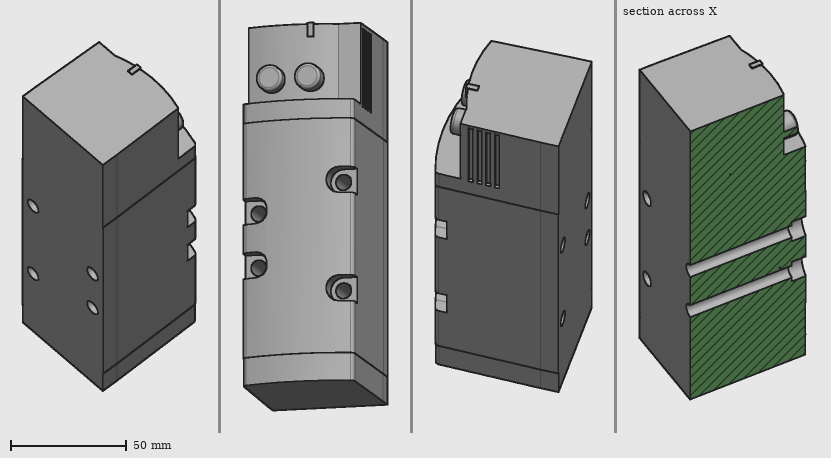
import cadquery as cq
import math

width = 51.6
depth = 60.0
body_top = 160.7
base_depth = 8.2
draft_angle = 1.0
crown_drop = 3.9
corner_radius = 2.1

lower_cap_top = 12.3
upper_cap_bottom = 116.2
cap_inset = 0.11
lower_cap_depth = 59.8

step_height = 124.8
head_flat_depth = 44.7
head_flat_end_x = -15.0
head_crest_x = 5.2
head_crest_depth = 48.2
head_right_depth = 45.3

hole_center_height = 65.0
hole_x = 19.0
hole_diameter = 7.0
counterbore_diameter = 11.5
counterbore_floor = 50.8
wide_pair_spacing = 48.0
narrow_pair_spacing = wide_pair_spacing / 2

button_diameter = 11.5
button_end = 54.2
button_fillet = 1.3
button_height = 136.5
button_root_depth = 1.6
button_xs = (-3.4, 13.7)

groove_count = 4
groove_first_y = 28.0
groove_last_y = 40.0
groove_pitch = (groove_last_y - groove_first_y) / (groove_count - 1)
groove_width = 2.1
groove_depth = 1.6
groove_bottom = 124.3
groove_top = 158.8

mark_x = -3.4
mark_width = 2.5
mark_start_y = 42.9
mark_end_y = head_crest_depth
mark_bottom = 155.0
mark_top = 161.2


def half_width_at(y, inset=0.0):
    """Half width of the drafted body at distance y from the back face."""
    drafted_length = max(0.0, y - base_depth)
    return width / 2 - inset - drafted_length * math.tan(math.radians(draft_angle))


def body_section(bottom, top, inset, crest_y):
    """Length of the body domed up to crest_y, with its side walls moved in by inset."""
    shoulder_y = crest_y - crown_drop
    base_x = half_width_at(0, inset)
    shoulder_x = half_width_at(shoulder_y, inset)
    return (
        cq.Workplane("XY", origin=(0, 0, bottom))
        .moveTo(-base_x, 0)
        .lineTo(base_x, 0)
        .lineTo(base_x, base_depth)
        .lineTo(shoulder_x, shoulder_y)
        .threePointArc((0, crest_y), (-shoulder_x, shoulder_y))
        .lineTo(-base_x, base_depth)
        .close()
        .extrude(top - bottom)
        .faces(">Y")
        .edges("|Z")
        .fillet(corner_radius)
    )


def head_section():
    """Control head with a flat ledge and an off-centre domed face."""
    base_x = half_width_at(0, cap_inset)
    left_x = half_width_at(head_flat_depth, cap_inset)
    right_x = half_width_at(head_right_depth, cap_inset)
    return (
        cq.Workplane("XY", origin=(0, 0, step_height))
        .moveTo(-base_x, 0)
        .lineTo(base_x, 0)
        .lineTo(base_x, base_depth)
        .lineTo(right_x, head_right_depth)
        .threePointArc((head_crest_x, head_crest_depth), (head_flat_end_x, head_flat_depth))
        .lineTo(-left_x, head_flat_depth)
        .lineTo(-base_x, base_depth)
        .close()
        .extrude(body_top - step_height)
    )


def button(x):
    """Push button with a rounded rim, rooted inside the head."""
    root_y = head_flat_depth - button_root_depth
    return (
        cq.Workplane("XZ", origin=(x, root_y, button_height))
        .circle(button_diameter / 2)
        .extrude(-(button_end - root_y))
        .faces(">Y")
        .edges()
        .fillet(button_fillet)
    )


def mounting_hole(side, height):
    """Through hole whose counterbore runs out through the nearest side wall."""
    x = side * hole_x
    bore = (
        cq.Workplane("XZ", origin=(x, 0, height))
        .circle(hole_diameter / 2)
        .extrude(-depth)
    )
    seat_depth = depth - counterbore_floor
    counterbore = (
        cq.Workplane("XZ", origin=(x, counterbore_floor, height))
        .circle(counterbore_diameter / 2)
        .extrude(-seat_depth)
    )
    runout_length = width / 2 - hole_x
    runout = (
        cq.Workplane("XY")
        .box(runout_length, seat_depth, counterbore_diameter, centered=(True, False, True))
        .translate((x + side * runout_length / 2, counterbore_floor, height))
    )
    return bore.union(counterbore).union(runout)


def grip_groove(index):
    """Vertical groove cut into the -X wall of the head."""
    y = groove_first_y + index * groove_pitch
    floor_x = -half_width_at(y, cap_inset) + groove_depth
    outer_x = -width / 2
    length = groove_top - groove_bottom
    return (
        cq.Workplane("XY")
        .box(floor_x - outer_x, groove_width, length, centered=(False, True, False))
        .translate((outer_x, y, groove_bottom))
    )


def index_mark():
    """Small raised bar over the top edge of the head."""
    length = mark_end_y - mark_start_y
    height = mark_top - mark_bottom
    return (
        cq.Workplane("XY")
        .box(mark_width, length, height, centered=(True, False, False))
        .translate((mark_x, mark_start_y, mark_bottom))
    )


result = body_section(lower_cap_top, upper_cap_bottom, 0.0, depth)
result = result.union(body_section(0.0, lower_cap_top, cap_inset, lower_cap_depth))
result = result.union(body_section(upper_cap_bottom, step_height, cap_inset, depth))
result = result.union(head_section())
result = result.union(index_mark())

for button_x in button_xs:
    result = result.union(button(button_x))

for side, spacing in ((-1, wide_pair_spacing), (1, narrow_pair_spacing)):
    for direction in (-1, 1):
        result = result.cut(mounting_hole(side, hole_center_height + direction * spacing / 2))

for groove_index in range(groove_count):
    result = result.cut(grip_groove(groove_index))